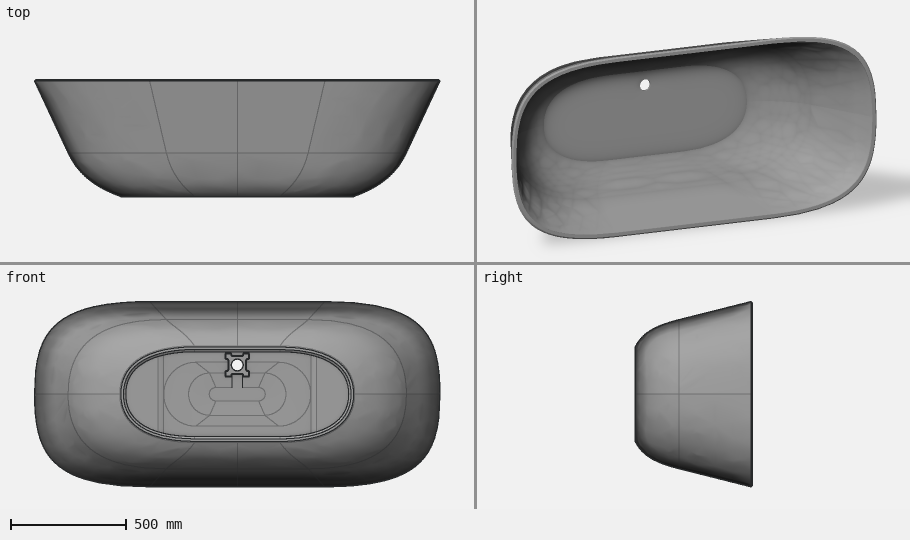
import cadquery as cq


LENGTH = 1750.0
WIDTH = 800.0
HEIGHT = 506.0
WALL = 20.0
RIM_BEVEL = 6.0

FOOT_Y = -HEIGHT / 2
RIM_Y = HEIGHT / 2
SHOULDER_HEIGHT = 190.0
OVERLAP = 1.0

RIM = (LENGTH / 2, WIDTH / 2, 378.0, 0.86, 0.64)
SHOULDER = (730.0, 322.0, 306.0, 0.684, 0.667)
FOOT = (507.0, 209.0, 185.0, 0.508, 0.757)

SHOULDER_HANDLE = (680.0, 295.0, 280.0, 0.63, 0.70)
FOOT_HANDLE = (590.0, 263.0, 220.0, 0.57, 0.73)
SHOULDER_HANDLE_HEIGHT = 80.0
FOOT_HANDLE_HEIGHT = 30.0
BASE_STEPS = 6

FOOT_BEVEL = 5.0
FOOT_BEVEL_HEIGHT = 3.0
FOOT_RING = 11.0
RECESS_TAPER = 10.0
RECESS_INSET = FOOT_BEVEL + FOOT_RING
FLOOR_INSET = RECESS_INSET + RECESS_TAPER
RECESS_DEPTH = 8.0
PANEL_STEP = 4.0
PANEL_HALF_TOP = 319.0
PANEL_HALF_MOUTH = 341.0
FLOOR_TOP = 18.0

OUTER_STADIUM = (317.0, 138.0, 0.0)
INNER_STADIUM = (210.0, 91.0, 1.0)
CENTRE_STADIUM = (121.0, 29.0, 3.0)

DRAIN_Z = 126.0
DRAIN_DIAMETER = 50.0
PAD_SIZE = 104.0
PAD_HEIGHT = 5.0
PAD_CORNER = 5.5
PAD_BEVEL = 4.0
PAD_NOTCH_WIDTH = 48.0
PAD_NOTCH_DEPTH = 11.5
CHANNEL_WIDTH = 47.0


def outline(y, shape, inset=0.0):
    """Closed oval wire in the plane at height y, shrunk by inset."""
    full_length, full_width, straight, end_fullness, side_fullness = shape
    length = full_length - inset
    width = full_width - inset
    end_x = straight + end_fullness * (length - straight)
    side_z = side_fullness * width

    def quarter(sx, sz):
        corners = ((straight, width), (end_x, width), (length, side_z), (length, 0))
        return [cq.Vector(sx * x, y, sz * z) for x, z in corners]

    def line(x0, x1, z):
        return cq.Edge.makeLine(cq.Vector(x0, y, z), cq.Vector(x1, y, z))

    edges = [
        line(-straight, 0, width),
        line(0, straight, width),
        cq.Edge.makeBezier(quarter(1, 1)),
        cq.Edge.makeBezier(quarter(1, -1)[::-1]),
        line(straight, 0, -width),
        line(0, -straight, -width),
        cq.Edge.makeBezier(quarter(-1, -1)),
        cq.Edge.makeBezier(quarter(-1, 1)[::-1]),
    ]
    return cq.Wire.assembleEdges(edges)


def ruled_body(first, second):
    return cq.Workplane(cq.Solid.makeLoft([first, second], True))


def cubic(p0, p1, p2, p3, t):
    s = 1 - t
    return s**3 * p0 + 3 * s * s * t * p1 + 3 * s * t * t * p2 + t**3 * p3


def tub_body(bottom, top, inset):
    """Oval tub form: ruled wall above the shoulder, curved base below it."""
    squeeze = (SHOULDER_HEIGHT - bottom) / SHOULDER_HEIGHT
    base_wires = []
    for step in range(BASE_STEPS + 1):
        t = step / BASE_STEPS
        height = cubic(SHOULDER_HEIGHT, SHOULDER_HANDLE_HEIGHT, FOOT_HANDLE_HEIGHT, 0, t)
        stages = zip(SHOULDER, SHOULDER_HANDLE, FOOT_HANDLE, FOOT)
        shape = [cubic(*values, t) for values in stages]
        base_wires.append(outline(FOOT_Y + bottom + squeeze * height, shape, inset))
    base = cq.Solid.makeLoft(base_wires)
    wall = ruled_body(base_wires[0], outline(top, RIM, inset))
    return cq.Workplane(base).union(wall)


def tub_shell():
    lip_y = RIM_Y - RIM_BEVEL
    bevel_y = FOOT_Y + FOOT_BEVEL_HEIGHT
    outside = tub_body(FOOT_BEVEL_HEIGHT, lip_y, 0)
    lip = ruled_body(outline(lip_y, RIM), outline(RIM_Y, RIM, RIM_BEVEL))
    foot = ruled_body(outline(FOOT_Y, FOOT, FOOT_BEVEL), outline(bevel_y, FOOT))
    mouth = ruled_body(outline(lip_y, RIM, WALL), outline(RIM_Y + OVERLAP, RIM, WALL))
    cavity = tub_body(FLOOR_TOP, lip_y, WALL).union(mouth)
    return outside.union(lip).union(foot).cut(cavity)


def foot_recess():
    mouth = outline(FOOT_Y, FOOT, RECESS_INSET)
    floor = outline(FOOT_Y + RECESS_DEPTH, FOOT, FLOOR_INSET)
    return ruled_body(mouth, floor)


def centre_panel():
    """Deeper middle of the recess, with a ramp across the tub at each end."""
    recess_y = FOOT_Y + RECESS_DEPTH
    ramps = (
        cq.Workplane("XY")
        .moveTo(-PANEL_HALF_MOUTH, recess_y)
        .lineTo(PANEL_HALF_MOUTH, recess_y)
        .lineTo(PANEL_HALF_TOP, recess_y + PANEL_STEP)
        .lineTo(-PANEL_HALF_TOP, recess_y + PANEL_STEP)
        .close()
        .extrude(FOOT[1], both=True)
    )
    limit = ruled_body(
        outline(recess_y, FOOT, FLOOR_INSET),
        outline(recess_y + PANEL_STEP, FOOT, FLOOR_INSET),
    )
    return ramps.intersect(limit)


def stadium_wire(stadium):
    half_length, radius, depth = stadium
    y = FOOT_Y + RECESS_DEPTH + PANEL_STEP + depth
    plane = cq.Workplane("XZ", origin=(0, y, 0))
    return plane.slot2D(2 * half_length, 2 * radius).wires().val()


def dish():
    """Two shallow steps that deepen towards a flat centre stadium."""
    outer_ring = ruled_body(stadium_wire(OUTER_STADIUM), stadium_wire(INNER_STADIUM))
    inner_ring = ruled_body(stadium_wire(INNER_STADIUM), stadium_wire(CENTRE_STADIUM))
    return outer_ring.union(inner_ring)


def drain_channel():
    """Groove joining the drain to the centre stadium at the same depth."""
    depth = RECESS_DEPTH + PANEL_STEP + CENTRE_STADIUM[2]
    return (
        cq.Workplane("XZ", origin=(0, FOOT_Y + depth, 0))
        .center(0, DRAIN_Z / 2)
        .rect(CHANNEL_WIDTH, DRAIN_Z)
        .extrude(depth)
    )


def drain_pad():
    """Square boss with rounded corners and a notch in the middle of each side."""
    top = FLOOR_TOP - OVERLAP
    bottom = RECESS_DEPTH + PANEL_STEP - PAD_HEIGHT
    plane = cq.Workplane("XZ", origin=(0, FOOT_Y + top, DRAIN_Z))
    height = top - bottom
    pad = plane.rect(PAD_SIZE, PAD_SIZE).extrude(height)
    for angle in range(0, 360, 90):
        notch = (
            plane.center(0, PAD_SIZE / 2)
            .rect(PAD_NOTCH_WIDTH, 2 * PAD_NOTCH_DEPTH)
            .extrude(height)
        )
        pad = pad.cut(notch.rotate((0, 0, DRAIN_Z), (0, 1, DRAIN_Z), angle))
    return pad.edges("|Y").fillet(PAD_CORNER).faces("<Y").chamfer(PAD_BEVEL)


def drain_hole():
    return (
        cq.Workplane("XZ", origin=(0, FOOT_Y + FLOOR_TOP + OVERLAP, DRAIN_Z))
        .circle(DRAIN_DIAMETER / 2)
        .extrude(FLOOR_TOP + 2 * OVERLAP)
    )


tub = tub_shell()
for pocket in (foot_recess(), centre_panel(), dish(), drain_channel()):
    tub = tub.cut(pocket)
result = tub.union(drain_pad()).cut(drain_hole())